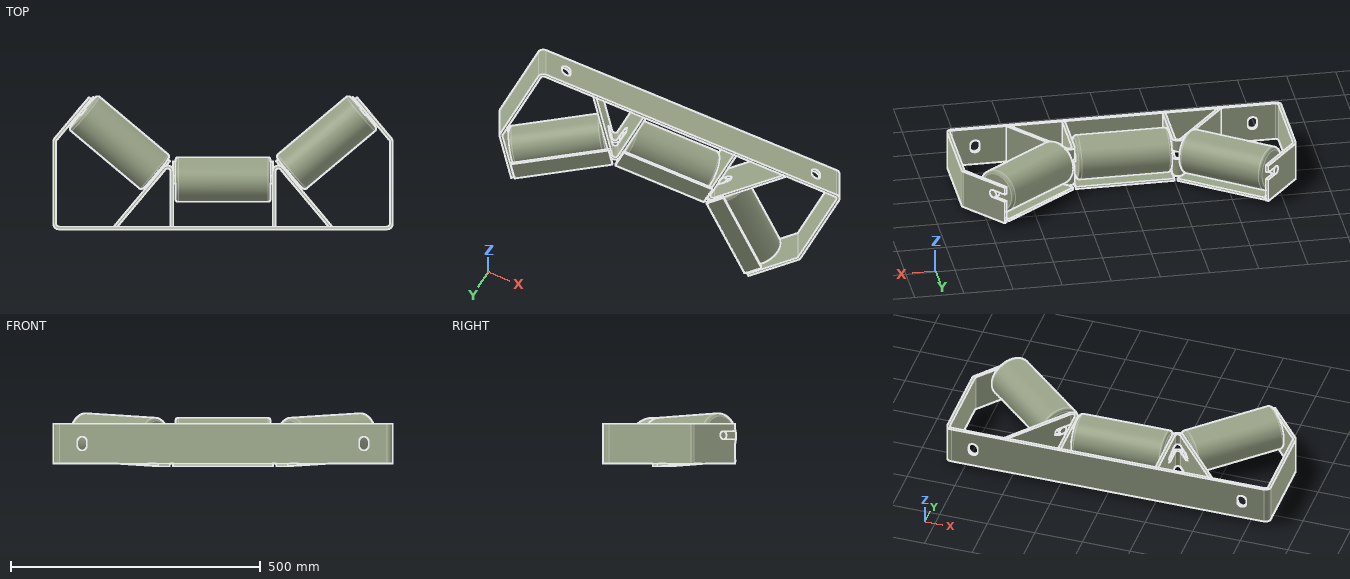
import cadquery as cq
import math


height = 80.0
half_width = 340.0
strip = 6.0
corner_radius = 11.5
bend_radius = 9.5
fold_radius = 11.5
arm_tip_y = 265.0

mount_x = 282.0
mount_width = 19.0
mount_height = 27.0

roller_radius = 45.0
roller_length = 190.5
roller_edge = 5.5
shaft_radius = 8.0
axis_z = 47.0
center_axis_y = 100.0
outer_x = 207.5
outer_y = 174.0
outer_turn = 40.0
outer_tilt = 2.8
seat_gap = 99.0

plate_length = 200.5
plate_width = 37.0
plate_thickness = 5.5
plate_drop = axis_z

slant = math.radians(90 - outer_turn)
outer_z = axis_z + seat_gap * math.sin(math.radians(outer_tilt))
shaft_reach = seat_gap + strip
shaft_length = 2 * shaft_reach


def slanted_line_y(gap, x):
    """Y at x on the line square to the left outer roller, at a signed distance from its middle."""
    along_x = (x + outer_x) * math.sin(slant)
    return outer_y + (along_x - gap) / math.cos(slant)


def slanted_line_x(gap, y):
    """X at y on the same line."""
    along_y = (y - outer_y) * math.cos(slant)
    return -outer_x + (gap + along_y) / math.sin(slant)


def mirrored(body):
    return body.mirror("YZ")


def place_center(body):
    """Move a body from the origin to the center roller's place."""
    return body.translate((0, center_axis_y, axis_z))


def place_outer(body):
    """Move a body from the origin to the left outer roller's place."""
    tilted = body.rotate((0, 0, 0), (0, 1, 0), outer_tilt)
    turned = tilted.rotate((0, 0, 0), (0, 0, 1), -outer_turn)
    return turned.translate((-outer_x, outer_y, outer_z))


def inset_points(points):
    """Corners of the line one strip thickness to the left of an open line."""
    inset = []
    for index, corner in enumerate(points):
        here = cq.Vector(*corner)
        normals = []
        if index > 0:
            run = here - cq.Vector(*points[index - 1])
            normals.append(cq.Vector(-run.y, run.x).normalized())
        if index < len(points) - 1:
            run = cq.Vector(*points[index + 1]) - here
            normals.append(cq.Vector(-run.y, run.x).normalized())
        bisector = normals[0] + normals[-1]
        moved = here + bisector * (2 * strip / bisector.dot(bisector))
        inset.append((moved.x, moved.y))
    return inset


def bent_strip(outer, radii):
    """Upright strip to the left of an open line, bent at its inner corners with the outer radii."""
    inner = inset_points(outer)
    body = cq.Workplane("XY").polyline(outer + inner[::-1]).close().extrude(height)
    for outer_corner, inner_corner, radius in zip(outer[1:-1], inner[1:-1], radii):
        for corner, corner_fillet in ((outer_corner, radius), (inner_corner, radius - strip)):
            upright_edge = cq.selectors.NearestToPointSelector((*corner, height / 2))
            body = body.edges("|Z").edges(upright_edge).fillet(corner_fillet)
    return body


def shaft_slot():
    """Cutter for a slot along the left half of a roller axis, round at the shaft and open to +Y."""
    reach = 2 * shaft_length
    opening = cq.Workplane("XY").box(reach, reach, 2 * shaft_radius, centered=(True, False, True))
    round_end = cq.Workplane("YZ").circle(shaft_radius).extrude(reach / 2, both=True)
    left_half = cq.Workplane("XY").box(reach, 3 * reach, reach).translate((-reach / 2, 0, 0))
    return opening.union(round_end).intersect(left_half)


def make_frame():
    bend_y = slanted_line_y(-shaft_reach, -half_width)
    left = [
        (slanted_line_x(-shaft_reach, arm_tip_y), arm_tip_y),
        (-half_width, bend_y),
        (-half_width, 0),
    ]
    right = [(-x, y) for x, y in reversed(left)]
    radii = [bend_radius, corner_radius, corner_radius, bend_radius]
    frame = bent_strip(left + right, radii)

    mount_slots = (
        cq.Workplane("XZ")
        .pushPoints([(-mount_x, height / 2), (mount_x, height / 2)])
        .slot2D(mount_height, mount_width, 90)
        .extrude(2 * strip, both=True)
    )
    arm_slot = place_outer(shaft_slot())
    return frame.cut(mount_slots).cut(arm_slot).cut(mirrored(arm_slot))


def make_bracket():
    """Left bracket: a straight leg, a fold and a slanted leg ending at the frame's front strip."""
    fold_y = slanted_line_y(seat_gap, -seat_gap)
    foot_x = slanted_line_x(seat_gap, strip)
    line = [(-seat_gap, strip), (-seat_gap, fold_y), (foot_x, strip)]
    bracket = bent_strip(line, [fold_radius])

    behind_front = cq.Workplane("XY").box(2 * half_width, half_width, height, centered=(True, False, False))
    bracket = bracket.intersect(behind_front.translate((0, strip, 0)))

    straight_leg_slot = place_center(shaft_slot())
    slanted_leg_slot = place_outer(mirrored(shaft_slot()))
    return bracket.cut(straight_leg_slot).cut(slanted_leg_slot)


def make_roller():
    """Roller with its shaft ends, lying along X at the origin."""
    barrel = cq.Workplane("YZ", origin=(-roller_length / 2, 0, 0)).circle(roller_radius).extrude(roller_length)
    barrel = barrel.faces("<X or >X").edges().fillet(roller_edge)
    shaft = cq.Workplane("YZ", origin=(-shaft_length / 2, 0, 0)).circle(shaft_radius).extrude(shaft_length)
    return barrel.union(shaft)


def make_plate(shift):
    """Plate below a roller that lies along X at the origin, moved along the axis by shift."""
    plate = cq.Workplane("XY").box(plate_length, plate_width, plate_thickness, centered=(True, False, False))
    return plate.translate((shift, 0, -plate_drop - plate_thickness))


frame = make_frame()

left_bracket = make_bracket()
brackets = [left_bracket, mirrored(left_bracket)]

outer_roller = place_outer(make_roller())
rollers = [place_center(make_roller()), outer_roller, mirrored(outer_roller)]

swing = (plate_drop + plate_thickness) * math.tan(math.radians(outer_tilt))
outer_plate = place_outer(make_plate(swing + plate_length / 2 - seat_gap))
plates = [place_center(make_plate(0)), outer_plate, mirrored(outer_plate)]

bodies = [frame, *brackets, *rollers, *plates]
result = cq.Compound.makeCompound([body.val() for body in bodies])